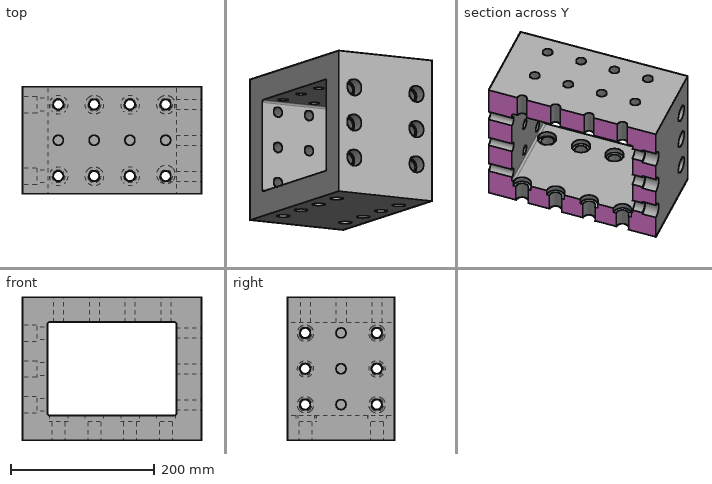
import cadquery as cq

length = 250.0
depth = 150.0
height = 200.0

wall = 35.0
window_corner_radius = 3.0
window_length = length - 2 * wall
window_height = height - 2 * wall

pitch = 50.0
columns_x = 4
rows_y = 3
rows_z = 3
outer_row_spacing = (rows_y - 1) * pitch

tapped_diameter = 14.0
clearance_diameter = 18.0
floor_counterbore_diameter = 26.0
floor_counterbore_depth = 8.0
corner_counterbore_inset = 2.5
side_counterbore_diameter = 23.0
side_counterbore_depth = 20.0


def make_frame():
    block = cq.Workplane("XY").box(length, depth, height)
    window = (
        cq.Workplane("XY")
        .box(window_length, depth, window_height)
        .edges("|Y")
        .fillet(window_corner_radius)
    )
    return block.cut(window)


def drill_top(body):
    """Plain holes through the top wall, in a full grid."""
    return (
        body.faces(">Z")
        .workplane(origin=(0, 0, 0))
        .rarray(pitch, pitch, columns_x, rows_y)
        .hole(tapped_diameter, wall)
    )


def floor_counterbore_centres():
    """Two rows of centres, with the one at the +X, -Y corner set slightly toward the middle in Y."""
    corner_x = (columns_x - 1) / 2 * pitch
    row_y = outer_row_spacing / 2
    centres = [(corner_x, -row_y + corner_counterbore_inset), (corner_x, row_y)]
    for column in range(columns_x - 1):
        x = column * pitch - corner_x
        centres += [(x, -row_y), (x, row_y)]
    return centres


def drill_floor(body):
    """Two rows of holes through the floor, counterbored from inside the window."""
    floor_top = cq.Workplane("XY", origin=(0, 0, -window_height / 2))
    clearance_holes = (
        floor_top.rarray(pitch, outer_row_spacing, columns_x, 2)
        .circle(clearance_diameter / 2)
        .extrude(-wall)
    )
    counterbores = (
        floor_top.pushPoints(floor_counterbore_centres())
        .circle(floor_counterbore_diameter / 2)
        .extrude(-floor_counterbore_depth)
    )
    return body.cut(clearance_holes).cut(counterbores)


def drill_sides(body):
    """Two columns of counterbored holes in the -X wall and a full grid of plain holes in the +X wall."""
    near_wall = (
        body.faces("<X")
        .workplane(origin=(0, 0, 0))
        .rarray(outer_row_spacing, pitch, 2, rows_z)
        .cboreHole(clearance_diameter, side_counterbore_diameter, side_counterbore_depth, wall)
    )
    return (
        near_wall.faces(">X")
        .workplane(origin=(0, 0, 0))
        .rarray(pitch, pitch, rows_y, rows_z)
        .hole(tapped_diameter, wall)
    )


result = drill_sides(drill_floor(drill_top(make_frame())))